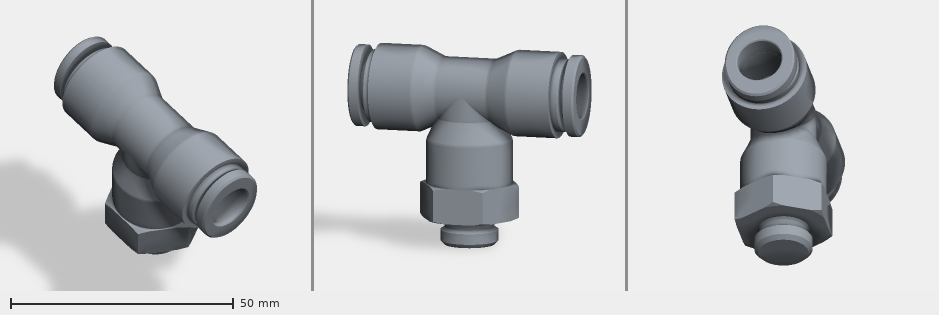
import cadquery as cq
import math


total_length = 52.8
total_height = 44.8

barrel_dia = 19.5
waist_dia = 14.95
waist_half_length = 6.0
cone_end = 11.05
run_end = 21.0
branch_end = 20.95
blend_radius = 1.0
socket_dia = 10.15

collar_dia = 16.5
collar_end = 22.8
collar_edge_chamfer = 0.25

bore_dia = 10.2
button_neck_dia = 11.7
flange_height = 18.55
flange_width = 16.1
flange_thickness = 2.5
flange_chamfer = 0.4
bore_chamfer = 0.25

hex_across_flats = 20.0
hex_thickness = 8.0
hex_flat_dia = 20.9
hex_chamfer_angle = 23.0
groove_dia = 11.2
groove_height = 2.05
groove_top_dia = 11.7
groove_flare_height = 0.6
groove_chamfer_height = 0.65
spigot_dia = 13.15
tip_chamfer = 0.95

button_end = total_length / 2
flange_inner = button_end - flange_thickness
hex_across_corners = hex_across_flats / math.cos(math.radians(30))
hex_bottom = -branch_end - hex_thickness
nipple_bottom = barrel_dia / 2 - total_height
run_ends = (1, -1)


def x_cylinder(diameter, start, end):
    """Cylinder on the run centreline between two X positions."""
    return cq.Workplane("YZ").workplane(offset=start).circle(diameter / 2).extrude(end - start)


def mirrored_to(end, shape):
    """Shape built at the +X end, moved to the given end of the run."""
    if end > 0:
        return shape
    return shape.mirror("YZ")


def make_run():
    """Horizontal tube: two barrels tapering to a waist, with blended corners."""
    waist_r = waist_dia / 2
    barrel_r = barrel_dia / 2
    run = (
        cq.Workplane("XY")
        .moveTo(-run_end, 0)
        .lineTo(-run_end, barrel_r)
        .lineTo(-cone_end, barrel_r)
        .lineTo(-waist_half_length, waist_r)
        .lineTo(waist_half_length, waist_r)
        .lineTo(cone_end, barrel_r)
        .lineTo(run_end, barrel_r)
        .lineTo(run_end, 0)
        .close()
        .revolve(360, (0, 0, 0), (1, 0, 0))
    )
    middle = cq.selectors.BoxSelector(
        (-cone_end - blend_radius, -barrel_dia, -barrel_dia),
        (cone_end + blend_radius, barrel_dia, barrel_dia),
    )
    return run.edges("%CIRCLE").edges(middle).fillet(blend_radius)


def make_branch():
    """Vertical tube with the same taper as the run; only its barrel edge is blended."""
    branch = (
        cq.Workplane("XZ")
        .lineTo(waist_dia / 2, 0)
        .lineTo(waist_dia / 2, -waist_half_length)
        .lineTo(barrel_dia / 2, -cone_end)
        .lineTo(barrel_dia / 2, -branch_end)
        .lineTo(0, -branch_end)
        .close()
        .revolve(360, (0, 0, 0), (0, 1, 0))
    )
    barrel_edge = cq.selectors.BoxSelector(
        (-barrel_dia, -barrel_dia, -cone_end - blend_radius),
        (barrel_dia, barrel_dia, -cone_end + blend_radius),
    )
    return branch.edges("%CIRCLE").edges(barrel_edge).fillet(blend_radius)


def make_tee_body():
    """Run and branch in one piece, with a blind tube socket at each run end."""
    tee = make_run().union(make_branch())
    for end in run_ends:
        socket = x_cylinder(socket_dia, cone_end, run_end)
        tee = tee.cut(mirrored_to(end, socket))
    return tee


def make_collar(end):
    """Ring against the end face of a run barrel."""
    collar = x_cylinder(collar_dia, run_end, collar_end)
    collar = collar.faces(">X").edges().chamfer(collar_edge_chamfer)
    collar = collar.cut(x_cylinder(bore_dia, run_end, collar_end))
    return mirrored_to(end, collar)


def make_button(end):
    """Release button: a round neck on the collar and an oval flange outside it."""
    flange = (
        cq.Workplane("YZ")
        .workplane(offset=flange_inner)
        .ellipse(flange_width / 2, flange_height / 2)
        .extrude(flange_thickness)
        .faces(">X")
        .edges()
        .chamfer(flange_chamfer)
    )
    button = flange.union(x_cylinder(button_neck_dia, collar_end, flange_inner))
    button = button.cut(x_cylinder(bore_dia, collar_end, button_end))
    button = button.faces(">X").edges("%CIRCLE").chamfer(bore_chamfer)
    return mirrored_to(end, button)


def make_hex():
    """Hexagon with flats facing +Y and -Y, its corners turned off at both ends."""
    hexagon = (
        cq.Workplane("XY")
        .workplane(offset=hex_bottom)
        .polygon(6, hex_across_corners)
        .extrude(hex_thickness)
    )
    corner_r = hex_across_corners / 2
    slope = math.tan(math.radians(hex_chamfer_angle))
    drop = (corner_r - hex_flat_dia / 2) * slope
    turned_envelope = (
        cq.Workplane("XZ")
        .moveTo(0, hex_bottom)
        .lineTo(hex_flat_dia / 2, hex_bottom)
        .lineTo(corner_r, hex_bottom + drop)
        .lineTo(corner_r, -branch_end - drop)
        .lineTo(hex_flat_dia / 2, -branch_end)
        .lineTo(0, -branch_end)
        .close()
        .revolve(360, (0, 0, 0), (0, 1, 0))
    )
    return hexagon.intersect(turned_envelope)


def make_spigot():
    """Turned end below the hexagon: flared groove, then a chamfered plain end."""
    groove_r = groove_dia / 2
    spigot_r = spigot_dia / 2
    groove_bottom = hex_bottom - groove_height
    return (
        cq.Workplane("XZ")
        .moveTo(0, hex_bottom)
        .lineTo(groove_top_dia / 2, hex_bottom)
        .lineTo(groove_r, hex_bottom - groove_flare_height)
        .lineTo(groove_r, groove_bottom)
        .lineTo(spigot_r, groove_bottom - groove_chamfer_height)
        .lineTo(spigot_r, nipple_bottom + tip_chamfer)
        .lineTo(spigot_r - tip_chamfer, nipple_bottom)
        .lineTo(0, nipple_bottom)
        .close()
        .revolve(360, (0, 0, 0), (0, 1, 0))
    )


def make_nipple():
    """Hexagon and spigot in one piece."""
    return make_hex().union(make_spigot())


tee_body = make_tee_body()
nipple = make_nipple()
collars = [make_collar(end).val() for end in run_ends]
buttons = [make_button(end).val() for end in run_ends]

result = cq.Compound.makeCompound([tee_body.val(), nipple.val(), *collars, *buttons])